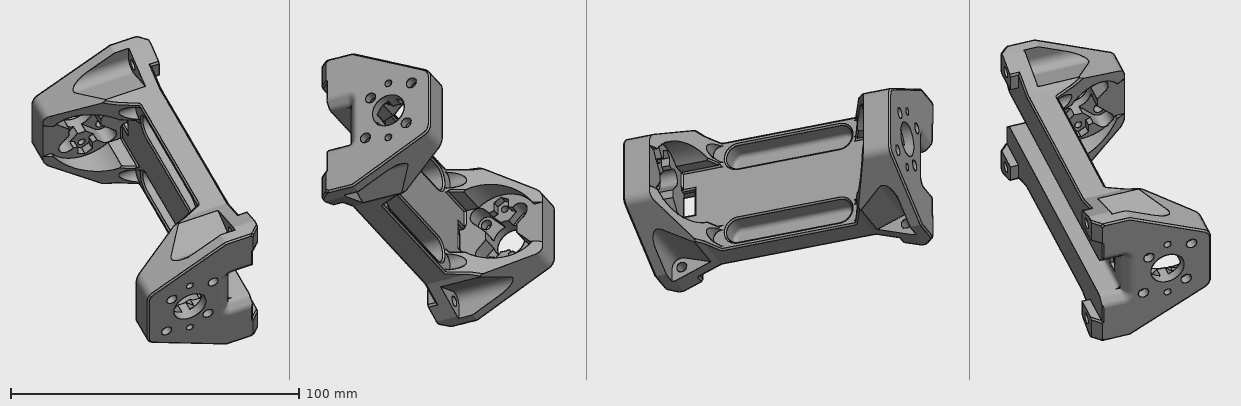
import cadquery as cq
import math

LENGTH = 100.0
HEIGHT = 54.0
DEPTH = 43.0
EDGE_CHAMFER = 0.6
OUTLINE_FILLET = 1.3

PLATE_FRONT_Y = 30.0
PLATE_BACK_Y = 40.0
PLATE_HALF_HEIGHT = 21.3
WEB = 2.0

END_WALL = 10.0
WALL_X = LENGTH / 2 - END_WALL
OPENING_HALF_LENGTH = 25.0
OPENING_FILLET = 0.75
BLOCK_TOP_X = 44.5
OUTLINE_ANGLE = 20.0
SIDE_SLOPE_START_Y = 29.75
FRONT_HALF_HEIGHT = 12.15
FRONT_FILLET = 4.0

PAD_INNER_X = 37.3
PAD_INNER_Z = 17.9
PAD_BEVEL = DEPTH - PLATE_BACK_Y

SCREW_X = 42.0
SCREW_Z = 22.0
SCREW_HOLE_D = 3.7
SCREW_POCKET_R = 3.6
SCREW_POCKET_Y = 35.0

CHANNEL_HALF_WIDTH = 8.0
CHANNEL_FLOOR_Y = PLATE_FRONT_Y + WEB
CHANNEL_CORNER_R = 1.5
FLARE_RADIUS = 3.0
FLARE_STRAIGHT = 1.2
FLARE_CORNER_R = 0.3

MOTOR_Y = 16.0
CAVITY_R = 15.0
CAVITY_HALF_WIDTH = 12.2
FRONT_SLOT_HALF_WIDTH = 8.0

SHAFT_HOLE_D = 12.2
BOLT_HOLE_D = 3.8
NEAR_BOLT_RADIUS = 9.7
FAR_BOLT_RADIUS = 12.5
BOLT_ANGLE = 45.0
BOLT_SLOT_WIDTH = 6.2
BOLT_SLOT_DEPTH = 6.5
NUT_HOLE_D = 2.6
NUT_Z = 11.0
NUT_WIDTH = 5.5
NUT_DEPTH = 3.0
RECESS_R = 9.9
RECESS_WIDTH = 9.4

WINDOW_HALF_HEIGHT = 5.0
WINDOW_INNER_X = 35.2

POCKET_CENTER_X = 18.9
POCKET_Z = 14.6
POCKET_R = 4.6
POCKET_FLOOR_FILLET = 1.6
POCKET_FLOOR_Y = PLATE_BACK_Y - WEB
SCALLOP_Z = 16.6
SCALLOP_R = 3.2

SIGNS = (-1, 1)
TOLERANCE = 0.01


def box(x_range, y_range, z_range):
    """Box spanning the given ranges."""
    sizes = [high - low for low, high in (x_range, y_range, z_range)]
    corner = (x_range[0], y_range[0], z_range[0])
    return cq.Workplane("XY").box(*sizes, centered=False).translate(corner)


def edges_where(shape, condition):
    """Edges of the shape whose midpoint and bounding box satisfy the condition."""
    chosen = [e for e in shape.edges().vals() if condition(e.Center(), e.BoundingBox())]
    return shape.newObject(chosen)


def mirror_four(shape):
    """Shape repeated in the four X/Z quadrants."""
    pair = shape.union(shape.mirror("XY"))
    return pair.union(pair.mirror("YZ"))


def is_opening_corner(center, bounds):
    """True for the inner corners between plate front and sloped block faces."""
    at_x = abs(abs(center.x) - OPENING_HALF_LENGTH) < TOLERANCE
    return at_x and abs(center.y - PLATE_FRONT_Y) < TOLERANCE


def is_outline_bend(center, bounds):
    """True for the edges along Y where the top and bottom of the front outline bend."""
    along_y = bounds.xlen < TOLERANCE and bounds.zlen < TOLERANCE
    return along_y and abs(center.x) < LENGTH / 2 - TOLERANCE


def is_side_slope_start(center, bounds):
    """True for the edges where the upper and lower block sides start to slope."""
    return abs(center.y - SIDE_SLOPE_START_Y) < TOLERANCE


def top_outline():
    """Prism along Z of the outline in the XY plane."""
    half_x = LENGTH / 2
    right = [
        (OPENING_HALF_LENGTH, PLATE_FRONT_Y),
        (WALL_X, 0),
        (half_x, 0),
        (half_x, PLATE_BACK_Y),
        (half_x - PAD_BEVEL, DEPTH),
        (PAD_INNER_X, DEPTH),
        (PAD_INNER_X, PLATE_BACK_Y),
    ]
    left = [(-x, y) for x, y in reversed(right)]
    prism = cq.Workplane("XY").polyline(right + left).close().extrude(HEIGHT / 2, both=True)
    return edges_where(prism, is_opening_corner).fillet(OPENING_FILLET)


def front_outline():
    """Prism along Y of the outline in the XZ plane."""
    half_z = HEIGHT / 2
    waist_x = BLOCK_TOP_X - (half_z - PLATE_HALF_HEIGHT) / math.tan(math.radians(OUTLINE_ANGLE))
    quarter = [
        (waist_x, PLATE_HALF_HEIGHT),
        (BLOCK_TOP_X, half_z),
        (LENGTH / 2, half_z),
    ]
    right = quarter + [(x, -z) for x, z in reversed(quarter)]
    left = [(-x, -z) for x, z in right]
    prism = cq.Workplane("XZ").polyline(right + left).close().extrude(-DEPTH)
    return edges_where(prism, is_outline_bend).fillet(OUTLINE_FILLET)


def end_outline():
    """Prism along X of the outline in the YZ plane."""
    half_z = HEIGHT / 2
    upper = [(DEPTH, half_z), (SIDE_SLOPE_START_Y, half_z), (0, FRONT_HALF_HEIGHT)]
    lower = [(y, -z) for y, z in reversed(upper)]
    prism = cq.Workplane("YZ").polyline(upper + lower).close().extrude(LENGTH / 2, both=True)
    prism = prism.edges("|X and <Y").fillet(FRONT_FILLET)
    return edges_where(prism, is_side_slope_start).fillet(OUTLINE_FILLET)


def is_beside_pad(center):
    """True for a point between plate back and pad face, clear of the chamfers at both."""
    return PLATE_BACK_Y + EDGE_CHAMFER < center.y < DEPTH - EDGE_CHAMFER


def is_end_rim(center, bounds):
    """True for the edges around both end faces, except where the pad bevels start."""
    on_face = abs(center.x) > LENGTH / 2 - TOLERANCE
    return on_face and not (center.y > PLATE_BACK_Y - TOLERANCE and abs(center.z) > PAD_INNER_Z)


def is_front_rim(center, bounds):
    """True for the top and bottom edges of the plate front and the adjoining block slopes."""
    on_side = PLATE_HALF_HEIGHT - TOLERANCE < abs(center.z) < PLATE_HALF_HEIGHT + EDGE_CHAMFER
    return on_side and PLATE_FRONT_Y / 2 < center.y < PLATE_FRONT_Y + TOLERANCE


def is_back_rim(center, bounds):
    """True for the top and bottom edges of the plate back and the pad steps."""
    on_side = abs(center.z) > PLATE_HALF_HEIGHT - TOLERANCE
    on_back = abs(center.y - PLATE_BACK_Y) < TOLERANCE and abs(center.x) < PAD_INNER_X - TOLERANCE
    on_step = is_beside_pad(center) and abs(abs(center.x) - PAD_INNER_X) < TOLERANCE
    return on_side and (on_back or on_step)


def is_pad_bevel_side(center, bounds):
    """True for the side edges of the pad bevels."""
    return is_beside_pad(center) and abs(center.x) > LENGTH / 2 - PAD_BEVEL


def make_body():
    """Outer shape with its pads and edge chamfers."""
    body = top_outline().intersect(front_outline()).intersect(end_outline())
    pad_gap = box((-LENGTH, LENGTH), (PLATE_BACK_Y, DEPTH), (-PAD_INNER_Z, PAD_INNER_Z))
    body = body.cut(pad_gap)

    for condition in (is_pad_bevel_side, is_end_rim, is_back_rim, is_front_rim):
        body = edges_where(body, condition).chamfer(EDGE_CHAMFER)
    return body


def screw_pockets():
    """Corner pockets open to the outside and front, each with a through hole."""
    angle = math.radians(OUTLINE_ANGLE)
    r = SCREW_POCKET_R
    tangent = (SCREW_X - r * math.sin(angle), SCREW_Z - r * math.cos(angle))
    tip_x = OPENING_HALF_LENGTH
    tip = (tip_x, tangent[1] + (tangent[0] - tip_x) * math.tan(angle))
    arc_angle = (math.pi / 2 - angle) / 2
    arc_middle = (SCREW_X + r * math.sin(arc_angle), SCREW_Z - r * math.cos(arc_angle))
    pocket = (
        cq.Workplane("XZ", origin=(0, SCREW_POCKET_Y, 0))
        .moveTo(SCREW_X + r, HEIGHT)
        .lineTo(SCREW_X + r, SCREW_Z)
        .threePointArc(arc_middle, tangent)
        .lineTo(*tip)
        .lineTo(tip_x, HEIGHT)
        .close()
        .extrude(SCREW_POCKET_Y)
    )
    hole = cq.Workplane("XZ").center(SCREW_X, SCREW_Z).circle(SCREW_HOLE_D / 2).extrude(-DEPTH)
    return mirror_four(pocket.union(hole))


def flare_profile():
    """Mouth of the channel at the +X end in the XY plane: corner radius plus flare."""
    base = FLARE_CORNER_R
    end_x = LENGTH / 2
    run = FLARE_RADIUS * math.sin(math.pi / 4)
    rise = FLARE_RADIUS - run
    middle_run = FLARE_RADIUS * math.sin(math.pi / 8)
    middle_rise = FLARE_RADIUS * (1 - math.cos(math.pi / 8))
    reach = run + rise + FLARE_STRAIGHT
    top = base + reach
    return (
        cq.Workplane("XY")
        .moveTo(end_x, 0)
        .lineTo(end_x, top)
        .threePointArc((end_x - middle_rise, top - middle_run), (end_x - rise, top - run))
        .lineTo(end_x - rise - FLARE_STRAIGHT, base + rise)
        .threePointArc((end_x - reach + middle_run, base + middle_rise), (end_x - reach, base))
        .lineTo(end_x - reach, 0)
        .close()
    )


def channel_mouth():
    """Flared mouth at the +X end: floor, two side walls and two round corners."""
    corner_y = CHANNEL_FLOOR_Y + FLARE_CORNER_R
    corner_z = CHANNEL_HALF_WIDTH - FLARE_CORNER_R
    side_length = DEPTH - corner_y
    axis = ((0, 0, 0), (1, 0, 0))
    floor = flare_profile().extrude(corner_z, both=True).rotate(*axis, 180)
    pieces = [floor.translate((0, corner_y, 0))]
    for sign in SIGNS:
        place = (0, corner_y, sign * corner_z)
        wall = flare_profile().extrude(-sign * side_length).rotate(*axis, sign * 90)
        corner = flare_profile().revolve(360, *axis)
        pieces += [wall.translate(place), corner.translate(place)]
    return pieces


def back_channel():
    """Channel along the back with a flared mouth at each end."""
    half = CHANNEL_HALF_WIDTH
    channel = box((-LENGTH / 2, LENGTH / 2), (CHANNEL_FLOOR_Y, DEPTH), (-half, half))
    channel = channel.edges("|X and <Y").fillet(CHANNEL_CORNER_R)
    for piece in channel_mouth():
        channel = channel.union(piece).union(piece.mirror("YZ"))
    return channel


def motor_cavity():
    """Hollow of the +X block: motor bore, rear box and front slot, open toward the middle."""
    x_range = (0, WALL_X)
    bore = cq.Workplane("YZ", origin=(0, MOTOR_Y, 0)).circle(CAVITY_R).extrude(WALL_X)
    bore = bore.intersect(box(x_range, (0, PLATE_FRONT_Y), (-HEIGHT, HEIGHT)))
    half = CAVITY_HALF_WIDTH
    rear = box(x_range, (MOTOR_Y, PLATE_FRONT_Y), (-half, half))
    rear = rear.faces(">Y").edges().chamfer(EDGE_CHAMFER)
    slot_half = FRONT_SLOT_HALF_WIDTH
    front = box(x_range, (0, MOTOR_Y), (-slot_half, slot_half))
    return bore.union(rear).union(front)


def motor_mount():
    """Holes, bolt slots and nut pockets of the +X end wall."""
    def inner_plane():
        return cq.Workplane("YZ", origin=(WALL_X, MOTOR_Y, 0))

    cutter = inner_plane().circle(SHAFT_HOLE_D / 2).extrude(END_WALL)
    for radius, angle in ((FAR_BOLT_RADIUS, BOLT_ANGLE), (NEAR_BOLT_RADIUS, -BOLT_ANGLE)):
        slot_length = 2 * radius + BOLT_SLOT_WIDTH
        slot = inner_plane().slot2D(slot_length, BOLT_SLOT_WIDTH, angle).extrude(BOLT_SLOT_DEPTH)
        holes = (
            inner_plane()
            .polarArray(radius, angle, 360, 2)
            .circle(BOLT_HOLE_D / 2)
            .extrude(END_WALL)
        )
        cutter = cutter.union(slot).union(holes)

    nut_across_corners = NUT_WIDTH / math.cos(math.pi / 6)
    recess = inner_plane().circle(RECESS_R).extrude(NUT_DEPTH)
    recess = recess.intersect(inner_plane().rect(RECESS_WIDTH, 2 * RECESS_R).extrude(NUT_DEPTH))
    cutter = cutter.union(recess)
    for sign in SIGNS:
        hole = inner_plane().center(0, sign * NUT_Z).circle(NUT_HOLE_D / 2).extrude(END_WALL)
        nut = cq.Workplane("YZ").polygon(6, nut_across_corners).extrude(NUT_DEPTH)
        nut = nut.rotate((0, 0, 0), (1, 0, 0), 90).translate((WALL_X, MOTOR_Y, sign * NUT_Z))
        cutter = cutter.union(hole).union(nut)
    return cutter


def window():
    """Window from the +X cavity to the back channel with a chamfered front rim."""
    half = WINDOW_HALF_HEIGHT
    opening = box((WINDOW_INNER_X, WALL_X), (PLATE_FRONT_Y, CHANNEL_FLOOR_Y), (-half, half))
    width = WALL_X - WINDOW_INNER_X
    rim = EDGE_CHAMFER
    bevel = (
        cq.Workplane("XZ", origin=(WALL_X, PLATE_FRONT_Y, 0))
        .rect(2 * (width + rim), 2 * (half + rim))
        .workplane(offset=-rim)
        .rect(2 * width, 2 * half)
        .loft()
    )
    inner_side = box((0, WALL_X), (0, DEPTH), (-HEIGHT, HEIGHT))
    return opening.union(bevel.intersect(inner_side))


def plate_pockets():
    """Two long round-ended pockets in the plate front with chamfered rims."""
    depth = POCKET_FLOOR_Y - PLATE_FRONT_Y
    front = cq.Workplane("XZ", origin=(0, PLATE_FRONT_Y, POCKET_Z))
    pocket = front.slot2D(2 * (POCKET_CENTER_X + POCKET_R), 2 * POCKET_R).extrude(-depth)
    pocket = pocket.faces(">Y").edges().fillet(POCKET_FLOOR_FILLET)
    rim_r = POCKET_R + EDGE_CHAMFER
    rim = front.slot2D(2 * (POCKET_CENTER_X + rim_r), 2 * rim_r).extrude(-EDGE_CHAMFER, taper=45)
    upper = pocket.union(rim)
    return upper.union(upper.mirror("XY"))


def scallops():
    """Half-round reliefs in the sloped block faces, level with the plate front."""
    scallop = (
        cq.Workplane("XZ")
        .center(OPENING_HALF_LENGTH, SCALLOP_Z)
        .circle(SCALLOP_R)
        .extrude(-PLATE_FRONT_Y)
    )
    return mirror_four(scallop)


def both_ends(shape):
    """Shape at the +X end and the same shape turned half a turn about Y at the -X end."""
    return shape.union(shape.rotate((0, 0, 0), (0, 1, 0), 180))


def is_cavity_lip(center, bounds):
    """True for the edges where the cavity side walls meet the sloped block faces."""
    on_wall = abs(abs(center.z) - CAVITY_HALF_WIDTH) < TOLERANCE and bounds.zlen < TOLERANCE
    return on_wall and bounds.ylen > TOLERANCE and bounds.xlen > TOLERANCE


result = make_body().cut(both_ends(motor_cavity()))
result = edges_where(result, is_cavity_lip).chamfer(EDGE_CHAMFER)
for cutter in (
    screw_pockets(),
    back_channel(),
    both_ends(motor_mount()),
    both_ends(window()),
    plate_pockets(),
    scallops(),
):
    result = result.cut(cutter)